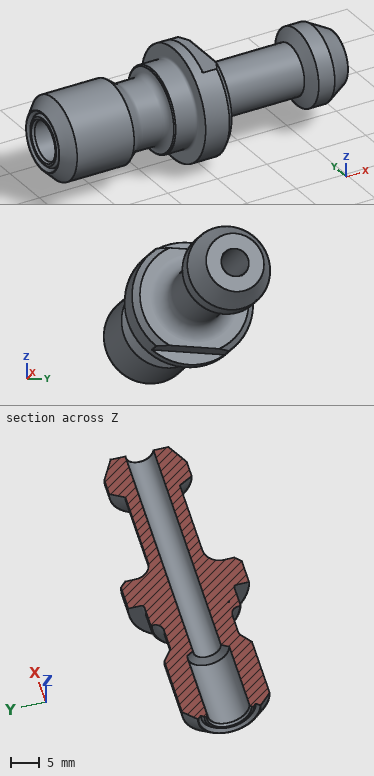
import cadquery as cq
import math

total_length = 58.6

thread_radius = 15.9 / 2
shank_tip_radius = 5.7
shank_chamfer = thread_radius - shank_tip_radius
thread_end = 13.8

neck_radius = 12.4 / 2
neck_taper_end = 15.75
neck_start = 16.6
neck_fillet = 1.45
taper_angle = math.radians(37)
neck_taper_radius = thread_radius - (neck_taper_end - thread_end) * math.tan(taper_angle)

collar_radius = 16.3 / 2
collar_start = 21.8
collar_chamfer = 0.25

flange_radius = 21.85 / 2
flange_start = 26.45
flange_end = 32.35
flange_chamfer = 1.1
flange_fillet = 0.45
flats_start = 28.5
flat_height = 8.75

stem_radius = 9.9 / 2
stem_fillet = 2.95
head_start = 49.95
head_radius = 14.95 / 2
head_full_start = 51.35
head_full_end = 54.6
head_tip_radius = 5.2

seat_outer_radius = 5.55
groove_radius = 9.9 / 2
groove_depth = seat_outer_radius - groove_radius
ridge_outer_radius = 4.45
ridge_inner_radius = 4.05
ridge_depth = groove_depth - (groove_radius - ridge_outer_radius)

bore_radius = 7.55 / 2
bore_lead_in = 0.5
bore_depth = thread_end
coolant_radius = 5.0 / 2
drill_half_angle = math.radians(59)
drill_cone_length = (bore_radius - coolant_radius) / math.tan(drill_half_angle)


def corner_fillet_middle(center_x, center_y, radius, side):
    """Middle point of a quarter fillet below its center; side is -1 left, 1 right."""
    offset = radius * math.sqrt(0.5)
    return (center_x + side * offset, center_y - offset)


def revolve_about_axis(profile):
    return profile.close().revolve(360, (0, 0, 0), (1, 0, 0))


def make_body():
    neck_fillet_start = collar_start - neck_fillet
    neck_fillet_top = neck_radius + neck_fillet
    flange_fillet_top = collar_radius + flange_fillet
    stem_fillet_end = flange_end + stem_fillet
    stem_fillet_top = stem_radius + stem_fillet
    profile = (
        cq.Workplane("XY")
        .lineTo(0, shank_tip_radius)
        .lineTo(shank_chamfer, thread_radius)
        .lineTo(thread_end, thread_radius)
        .lineTo(neck_taper_end, neck_taper_radius)
        .tangentArcPoint((neck_start, neck_radius), relative=False)
        .lineTo(neck_fillet_start, neck_radius)
        .threePointArc(
            corner_fillet_middle(neck_fillet_start, neck_fillet_top, neck_fillet, 1),
            (collar_start, neck_fillet_top),
        )
        .lineTo(collar_start, collar_radius - collar_chamfer)
        .lineTo(collar_start + collar_chamfer, collar_radius)
        .lineTo(flange_start - flange_fillet, collar_radius)
        .threePointArc(
            corner_fillet_middle(flange_start - flange_fillet, flange_fillet_top, flange_fillet, 1),
            (flange_start, flange_fillet_top),
        )
        .lineTo(flange_start, flange_radius)
        .lineTo(flange_end - flange_chamfer, flange_radius)
        .lineTo(flange_end, flange_radius - flange_chamfer)
        .lineTo(flange_end, stem_fillet_top)
        .threePointArc(
            corner_fillet_middle(stem_fillet_end, stem_fillet_top, stem_fillet, -1),
            (stem_fillet_end, stem_radius),
        )
        .lineTo(head_start, stem_radius)
        .lineTo(head_full_start, head_radius)
        .lineTo(head_full_end, head_radius)
        .lineTo(total_length, head_tip_radius)
        .lineTo(total_length, 0)
    )
    return revolve_about_axis(profile)


def make_passage():
    """Seat, stepped bore and through hole as one solid to remove."""
    profile = (
        cq.Workplane("XY")
        .lineTo(0, seat_outer_radius)
        .lineTo(groove_depth, groove_radius)
        .lineTo(ridge_depth, ridge_outer_radius)
        .lineTo(ridge_depth, ridge_inner_radius)
        .lineTo(ridge_depth + bore_lead_in, bore_radius)
        .lineTo(bore_depth, bore_radius)
        .lineTo(bore_depth + drill_cone_length, coolant_radius)
        .lineTo(total_length, coolant_radius)
        .lineTo(total_length, 0)
    )
    return revolve_about_axis(profile)


def make_flat_cutter(side):
    """Block outside one wrench flat; side is 1 for +Z and -1 for -Z."""
    length = flange_end - flats_start
    height = flange_radius - flat_height
    return cq.Workplane("XY").box(length, 2 * flange_radius, height).translate(
        (flats_start + length / 2, 0, side * (flat_height + height / 2))
    )


result = make_body().cut(make_passage())
for side in (1, -1):
    result = result.cut(make_flat_cutter(side))